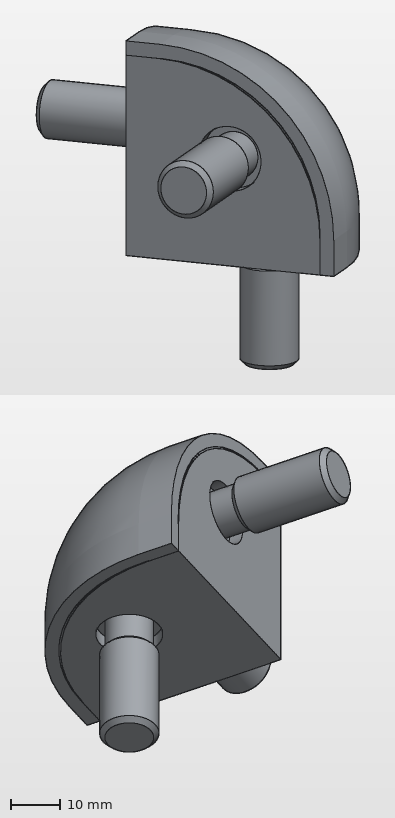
import cadquery as cq

overall_size = 71.1
corner_side = 45.0
cover_thickness = 3.0
cover_outer_radius = 37.5
cover_inner_radius = 34.0
relief_radius = 35.0
relief_depth = 0.15

stud_diameter = 12.0
neck_diameter = 9.9
neck_exposed_length = 4.1
clearance_hole_diameter = 13.5
clearance_hole_depth = 3.0

block_side = corner_side - cover_thickness
stud_center = corner_side / 2
stud_reach = overall_size - corner_side
shank_length = stud_reach - neck_exposed_length
stud_chamfer = (stud_diameter - neck_diameter) / 2
neck_length = neck_exposed_length + clearance_hole_depth

flat_faces = [
    cq.Plane(origin=(0, 0, 0), xDir=(0, 0, 1), normal=(-1, 0, 0)),
    cq.Plane(origin=(0, 0, 0), xDir=(1, 0, 0), normal=(0, -1, 0)),
    cq.Plane(origin=(0, 0, 0), xDir=(0, 1, 0), normal=(0, 0, -1)),
]


def rounded_corner(side, radius):
    """Cube on the origin whose three edges meeting at the far corner are rounded."""
    cube = cq.Workplane("XY").box(side, side, side, centered=False)
    far_edges = cube.edges("(>X and >Y) or (>X and >Z) or (>Y and >Z)")
    return far_edges.fillet(radius)


def make_cover():
    """Curved shell over the three far sides of the block."""
    outside = rounded_corner(corner_side, cover_outer_radius)
    cavity = rounded_corner(block_side, cover_inner_radius)
    return outside.cut(cavity)


def clearance_hole(face):
    """Blind hole around the neck of the stud on one flat face."""
    return (
        cq.Workplane(face)
        .center(stud_center, stud_center)
        .circle(clearance_hole_diameter / 2)
        .extrude(-clearance_hole_depth)
    )


def edge_relief(face):
    """Shallow cut outside the relief arc, leaving a thin crescent recess beside the cover."""
    arc_start = block_side - relief_radius
    return (
        cq.Workplane(face)
        .moveTo(arc_start, block_side)
        .lineTo(block_side, block_side)
        .lineTo(block_side, arc_start)
        .radiusArc((arc_start, block_side), -relief_radius)
        .close()
        .extrude(-relief_depth)
    )


def make_block():
    """Inner block with a clearance hole and a crescent edge relief in each flat face."""
    body = rounded_corner(block_side, cover_inner_radius)
    for face in flat_faces:
        body = body.cut(clearance_hole(face)).cut(edge_relief(face))
    return body


def make_stud(face):
    """Stud standing on the floor of its clearance hole: a neck and a thicker chamfered shank."""
    stud_axis = cq.Workplane(face).center(stud_center, stud_center)
    neck = (
        stud_axis.workplane(offset=-clearance_hole_depth)
        .circle(neck_diameter / 2)
        .extrude(neck_length)
    )
    shank = (
        stud_axis.workplane(offset=neck_exposed_length)
        .circle(stud_diameter / 2)
        .extrude(shank_length)
        .edges("%CIRCLE")
        .chamfer(stud_chamfer)
    )
    return neck.union(shank)


cover = make_cover()
block = make_block()
studs = [make_stud(face) for face in flat_faces]

result = cq.Compound.makeCompound([cover.val(), block.val(), *[stud.val() for stud in studs]])